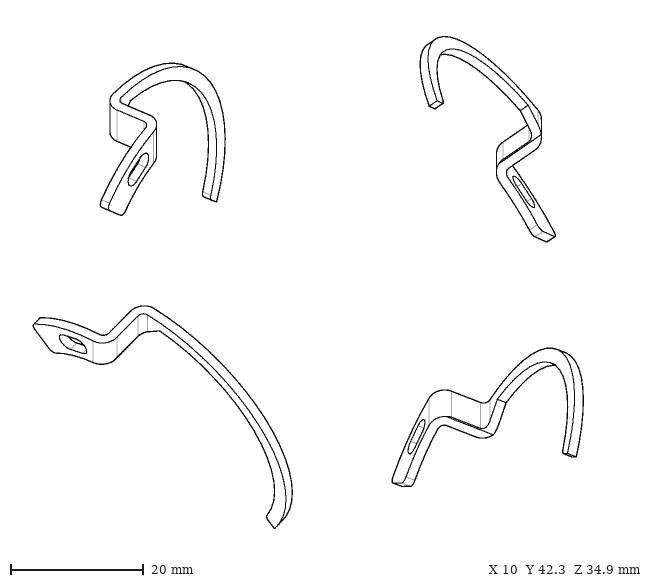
import cadquery as cq
import math

outer_radius = 24.6
hook_width = 2.25
tab_width = 5.75
thickness = 1.52
overall_x = 10.0
web_front_y = -4.95
bend_inner_radius = 1.0
bend_outer_radius = bend_inner_radius + thickness

hook_end_angle = -24.7
tab_end_angle = 137.4
taper_start_angle = 90.0
taper_end_angle = 100.9
slot_angle = 117.3
hook_end_cut_angle = 139.0

corner_radius = 1.0
slot_width = 2.95
slot_center_spacing = 2.65
slot_inward_offset = 0.15

hook_inner_radius = outer_radius - hook_width
tab_inner_radius = outer_radius - tab_width
slot_radius = tab_inner_radius + tab_width / 2 - slot_inward_offset


def polar(radius, angle):
    """Return the Y, Z point at a radius and angle about the X axis."""
    radians = math.radians(angle)
    return radius * math.cos(radians), radius * math.sin(radians)


def find_hook_inner_tip():
    """Return the Y, Z point where the slanted end cut meets the hook's inner arc."""
    turn = math.radians(hook_end_cut_angle - hook_end_angle)
    along_cut = -outer_radius * math.cos(turn)
    from_axis = outer_radius * math.sin(turn)
    cut_length = along_cut - math.sqrt(hook_inner_radius**2 - from_axis**2)
    start_y, start_z = polar(outer_radius, hook_end_angle)
    step_y, step_z = polar(cut_length, hook_end_cut_angle)
    return start_y + step_y, start_z + step_z


def make_outline_body():
    """Extrude the C-shaped side outline across the full width in X."""
    outer_middle = polar(outer_radius, (hook_end_angle + tab_end_angle) / 2)
    tab_middle = polar(tab_inner_radius, (taper_end_angle + tab_end_angle) / 2)
    hook_middle = polar(hook_inner_radius, (hook_end_angle + taper_start_angle) / 2)
    hook_inner_tip = find_hook_inner_tip()
    body = (
        cq.Workplane("YZ")
        .moveTo(*polar(outer_radius, hook_end_angle))
        .threePointArc(outer_middle, polar(outer_radius, tab_end_angle))
        .lineTo(*polar(tab_inner_radius, tab_end_angle))
        .threePointArc(tab_middle, polar(tab_inner_radius, taper_end_angle))
        .lineTo(*polar(hook_inner_radius, taper_start_angle))
        .threePointArc(hook_middle, hook_inner_tip)
        .close()
        .extrude(overall_x)
    )
    rounded_corners = (
        polar(outer_radius, tab_end_angle),
        polar(tab_inner_radius, tab_end_angle),
        hook_inner_tip,
    )
    for y, z in rounded_corners:
        corner_edge = cq.selectors.NearestToPointSelector((overall_x / 2, y, z))
        body = body.edges("|X").edges(corner_edge).fillet(corner_radius)
    return body


def make_bent_sheet():
    """Extrude the joggled sheet section through the full height in Z."""
    web_back_y = web_front_y + thickness
    tab_left_x = overall_x - thickness
    reach = 2 * outer_radius
    sheet = (
        cq.Workplane("XY")
        .polyline([
            (0, reach),
            (0, web_front_y),
            (tab_left_x, web_front_y),
            (tab_left_x, -reach),
            (overall_x, -reach),
            (overall_x, web_back_y),
            (thickness, web_back_y),
            (thickness, reach),
        ])
        .close()
        .extrude(reach, both=True)
    )
    bends = (
        (0, web_front_y, bend_outer_radius),
        (thickness, web_back_y, bend_inner_radius),
        (tab_left_x, web_front_y, bend_inner_radius),
        (overall_x, web_back_y, bend_outer_radius),
    )
    for x, y, radius in bends:
        bend_edge = cq.selectors.NearestToPointSelector((x, y, 0))
        sheet = sheet.edges("|Z").edges(bend_edge).fillet(radius)
    return sheet


def make_slot():
    """Make the tab's through slot, square to the radius through its center."""
    return (
        cq.Workplane("YZ")
        .center(*polar(slot_radius, slot_angle))
        .slot2D(slot_center_spacing + slot_width, slot_width, slot_angle - 90)
        .extrude(overall_x)
    )


result = make_outline_body().intersect(make_bent_sheet()).cut(make_slot())